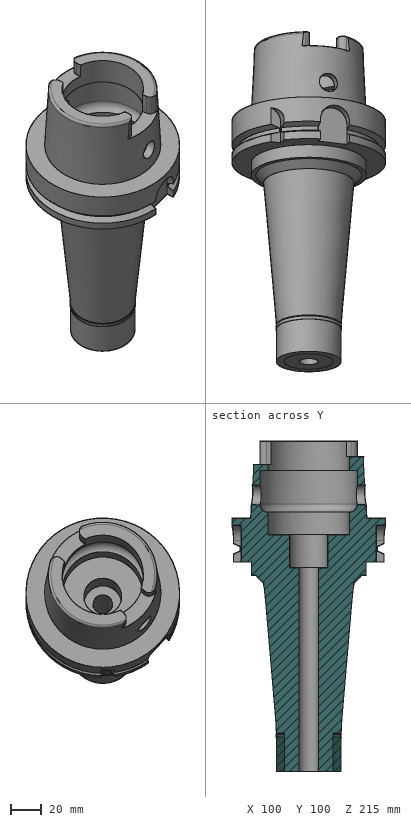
import cadquery as cq

TOTAL_LENGTH = 215.0
SHANK_LENGTH = 50.0
BOTTOM_Z = SHANK_LENGTH - TOTAL_LENGTH

SHANK_BASE_RADIUS = 37.8
SHANK_SLOPE = 0.05
SHANK_TOP_RADIUS = SHANK_BASE_RADIUS - SHANK_SLOPE * SHANK_LENGTH
SHANK_TOP_FILLET = 1.7

FLANGE_DIAMETER = 100.0
FLANGE_RADIUS = FLANGE_DIAMETER / 2
FLANGE_BOTTOM_Z = -28.5
GROOVE_CENTRE_Z = -20.0
GROOVE_ROOT_RADIUS = 45.8
GROOVE_ROOT_WIDTH = 2.8
GROOVE_MOUTH_WIDTH = 6.7

COLLAR_RADIUS = 37.5
COLLAR_BOTTOM_Z = -37.2
COLLAR_STEP_RADIUS = 34.6
NECK_TOP_RADIUS = 29.5
NECK_TOP_Z = -42.4
NECK_BOTTOM_RADIUS = 21.0
NECK_BOTTOM_Z = -140.0

SPIGOT_RADIUS = 16.0
NECK_GAP = 0.6
RING_RADIUS = 21.3
RING_HEIGHT = 2.2
NUT_RADIUS = 21.0
RING_TOP_Z = NECK_BOTTOM_Z - NECK_GAP
NUT_TOP_Z = RING_TOP_Z - RING_HEIGHT

MOUTH_RADIUS = 26.5
MOUTH_DEPTH = 19.1
UNDERCUT_RADIUS = 31.5
UNDERCUT_ROUND_TOP_Z = 9.0
LOWER_BORE_FLOOR_Z = -10.8
COOLANT_RADIUS = 12.3
COOLANT_FLOOR_Z = -32.2
BORE_RADIUS = 6.2

CROSS_HOLE_RADIUS = 6.2
CROSS_HOLE_Z = 15.0

DRIVE_SLOT_WIDTH = 20.0
DRIVE_SLOT_FLARE_RADIUS = 4.3
DRIVE_SLOT_FLARE_START = 27.5
SHALLOW_SLOT_DEPTH = 10.0
DEEP_SLOT_DEPTH = 15.0

FLANGE_SLOT_WIDTH = 20.0
FLANGE_SLOT_TOP_Z = -4.7
KEYWAY_FLOOR_X = 44.0
SIDE_NOTCH_Y = 41.5
SIDE_NOTCH_FLOOR_X = 32.2

CUT_REACH = 64.5


def holder_blank():
    """Solid of revolution of the shank, flange, collar, neck and spigot."""
    half_root = GROOVE_ROOT_WIDTH / 2
    half_mouth = GROOVE_MOUTH_WIDTH / 2
    outline = [
        (0, BOTTOM_Z),
        (SPIGOT_RADIUS, BOTTOM_Z),
        (SPIGOT_RADIUS, NECK_BOTTOM_Z),
        (NECK_BOTTOM_RADIUS, NECK_BOTTOM_Z),
        (NECK_TOP_RADIUS, NECK_TOP_Z),
        (COLLAR_STEP_RADIUS, COLLAR_BOTTOM_Z),
        (COLLAR_RADIUS, COLLAR_BOTTOM_Z),
        (COLLAR_RADIUS, FLANGE_BOTTOM_Z),
        (FLANGE_RADIUS, FLANGE_BOTTOM_Z),
        (FLANGE_RADIUS, GROOVE_CENTRE_Z - half_mouth),
        (GROOVE_ROOT_RADIUS, GROOVE_CENTRE_Z - half_root),
        (GROOVE_ROOT_RADIUS, GROOVE_CENTRE_Z + half_root),
        (FLANGE_RADIUS, GROOVE_CENTRE_Z + half_mouth),
        (FLANGE_RADIUS, 0),
        (SHANK_BASE_RADIUS, 0),
        (SHANK_TOP_RADIUS, SHANK_LENGTH),
        (0, SHANK_LENGTH),
    ]
    blank = cq.Workplane("YZ").polyline(outline).close().revolve(360, (0, 0), (0, 1))
    return blank.faces(">Z").edges().fillet(SHANK_TOP_FILLET)


def stepped_bore():
    """Clamping mouth, rounded undercut, lower bore, coolant connection and through bore."""
    mouth_bottom_z = SHANK_LENGTH - MOUTH_DEPTH
    round_radius = UNDERCUT_RADIUS - MOUTH_RADIUS
    profile = (
        cq.Workplane("YZ")
        .moveTo(0, BOTTOM_Z)
        .lineTo(BORE_RADIUS, BOTTOM_Z)
        .lineTo(BORE_RADIUS, COOLANT_FLOOR_Z)
        .lineTo(COOLANT_RADIUS, COOLANT_FLOOR_Z)
        .lineTo(COOLANT_RADIUS, LOWER_BORE_FLOOR_Z)
        .lineTo(MOUTH_RADIUS, LOWER_BORE_FLOOR_Z)
        .lineTo(MOUTH_RADIUS, UNDERCUT_ROUND_TOP_Z - round_radius)
        .radiusArc((UNDERCUT_RADIUS, UNDERCUT_ROUND_TOP_Z), -round_radius)
        .lineTo(UNDERCUT_RADIUS, mouth_bottom_z)
        .lineTo(MOUTH_RADIUS, mouth_bottom_z)
        .lineTo(MOUTH_RADIUS, SHANK_LENGTH)
        .lineTo(0, SHANK_LENGTH)
        .close()
    )
    return profile.revolve(360, (0, 0), (0, 1))


def cross_hole():
    """Radial hole along X through both shank walls."""
    return (
        cq.Workplane("YZ")
        .center(0, CROSS_HOLE_Z)
        .circle(CROSS_HOLE_RADIUS)
        .extrude(CUT_REACH, both=True)
    )


def drive_slot(depth):
    """Rim slot on the +X side whose walls flare outward in quarter arcs."""
    half_width = DRIVE_SLOT_WIDTH / 2
    radius = DRIVE_SLOT_FLARE_RADIUS
    flare_end_x = DRIVE_SLOT_FLARE_START + radius
    flare_end_y = half_width + radius
    return (
        cq.Workplane("XY")
        .workplane(offset=SHANK_LENGTH - depth)
        .moveTo(0, -half_width)
        .lineTo(DRIVE_SLOT_FLARE_START, -half_width)
        .radiusArc((flare_end_x, -flare_end_y), radius)
        .lineTo(flare_end_x, -CUT_REACH)
        .lineTo(CUT_REACH, -CUT_REACH)
        .lineTo(CUT_REACH, CUT_REACH)
        .lineTo(flare_end_x, CUT_REACH)
        .lineTo(flare_end_x, flare_end_y)
        .radiusArc((DRIVE_SLOT_FLARE_START, half_width), radius)
        .lineTo(0, half_width)
        .close()
        .extrude(depth)
    )


def flange_slot(centre_y, floor_x):
    """Round-topped slot on the +X side, open at the flange underside."""
    half_width = FLANGE_SLOT_WIDTH / 2
    return (
        cq.Workplane("YZ")
        .workplane(offset=floor_x)
        .moveTo(centre_y - half_width, FLANGE_BOTTOM_Z)
        .lineTo(centre_y + half_width, FLANGE_BOTTOM_Z)
        .lineTo(centre_y + half_width, FLANGE_SLOT_TOP_Z - half_width)
        .threePointArc(
            (centre_y, FLANGE_SLOT_TOP_Z),
            (centre_y - half_width, FLANGE_SLOT_TOP_Z - half_width),
        )
        .close()
        .extrude(CUT_REACH - floor_x)
    )


def make_holder():
    """Holder with its bore, holes and slots."""
    keyway = flange_slot(0, KEYWAY_FLOOR_X)
    side_notch = flange_slot(SIDE_NOTCH_Y, SIDE_NOTCH_FLOOR_X)
    return (
        holder_blank()
        .cut(stepped_bore())
        .cut(cross_hole())
        .cut(drive_slot(DEEP_SLOT_DEPTH))
        .cut(drive_slot(SHALLOW_SLOT_DEPTH).mirror("YZ"))
        .cut(keyway)
        .cut(keyway.mirror("YZ"))
        .cut(side_notch.mirror("YZ"))
    )


def make_sleeve(outer_radius, top_z, bottom_z):
    """Plain sleeve that fits the spigot."""
    return (
        cq.Workplane("XY")
        .workplane(offset=bottom_z)
        .circle(outer_radius)
        .circle(SPIGOT_RADIUS)
        .extrude(top_z - bottom_z)
    )


holder = make_holder()
ring = make_sleeve(RING_RADIUS, RING_TOP_Z, NUT_TOP_Z)
nut = make_sleeve(NUT_RADIUS, NUT_TOP_Z, BOTTOM_Z)

result = cq.Compound.makeCompound([holder.val(), ring.val(), nut.val()])